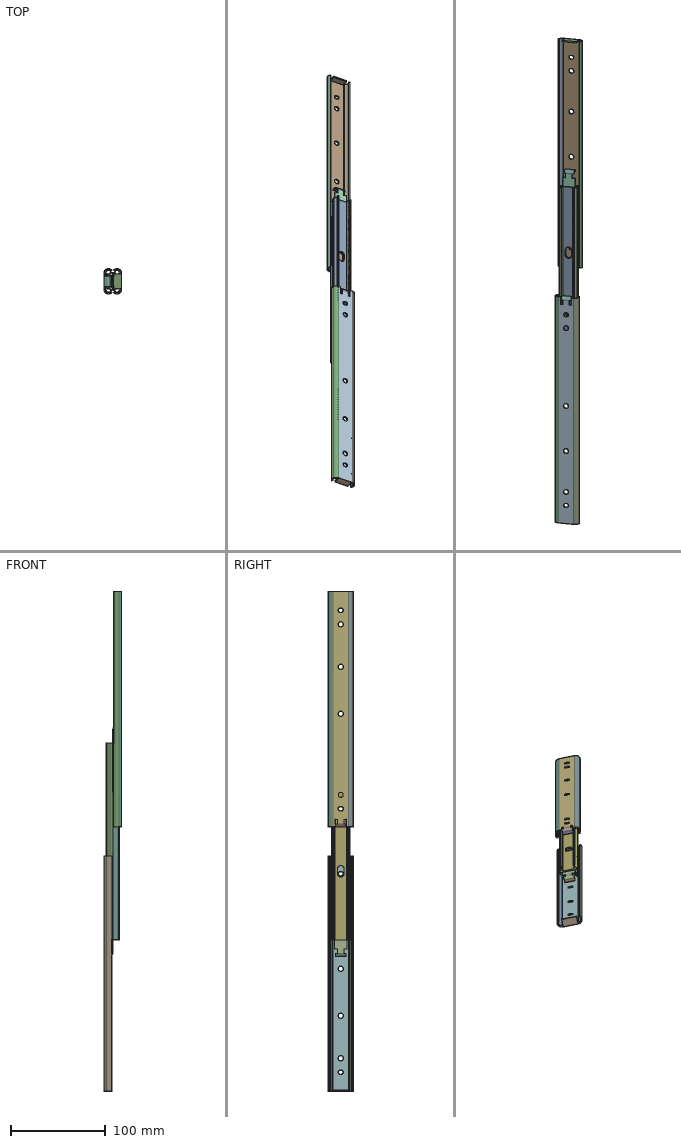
import cadquery as cq
import math


total_length = 528.5
total_depth = 19.0
total_width = 27.0
sheet = 1.5

rail_length = 249.0
rail_depth = 8.5
rail_web_half = 8.5
end_wall_width = 16.0
rail_back = -total_depth / 2
rail_bottom = -total_length / 2
rail_top = rail_bottom + rail_length

lip_radius = 4.45
race_radius = lip_radius - sheet
lip_start = math.radians(-27)
lip_end = math.radians(51)
race_offset = 5.0
race_x = rail_back + race_offset
race_y = total_width / 2 - lip_radius

hole_diameter = 5.5
round_hole_heights = (35.0, 80.0, 129.5, 215.0)
slot_heights = (20.0, 230.0)
slot_width = 5.5
slot_height = 4.0

fold_radius = 3.0
hook_reach = 6.5
hook_width = 11.0
neck_width = 7.5
neck_bottom = 8.0
notch_side_gap = 0.25
notch_width = hook_width + 2 * notch_side_gap

channel_length = 208.5
channel_depth = 7.5
channel_half_width = 9.5
back_edge_drop = 1.3
peak_depth = 1.3
groove_depth = 3.95
groove_drop = 2.2
tip_flat = 1.3
tip_drop = 1.3
tip_thickness = 2.0
tip_chamfer = 1.0
tip_half_width = channel_half_width - tip_drop
cavity_half_width = tip_half_width - tip_thickness
tongue_length = 17.5
tongue_width = 14.0
window_width = 7.0
window_height = 12.0
window_z = 31.5

cage_length = 63.5
cage_thickness = 0.5
cage_end_gap = 2.5
cage_span = math.radians(70)


def on_circle(center, radius, angle):
    """Point on a circle, with the angle measured from +Y towards +X."""
    return (center[0] + radius * math.sin(angle), center[1] + radius * math.cos(angle))


def mirrored_extrusion(half_profile, bottom, length):
    """Extrude a half profile along Z and join it to its mirror image across Y = 0."""
    half = half_profile.extrude(length).translate((0, 0, bottom))
    return half.union(half.mirror("XZ"))


def stop_hook(back, into):
    """Sheet folded over in the X direction `into`, its top at Z = 0, on a narrower neck."""
    bend_middle = 1 - math.sqrt(0.5)
    inner_radius = fold_radius - sheet
    hook = (
        cq.Workplane("XZ")
        .moveTo(back, -neck_bottom)
        .lineTo(back, -fold_radius)
        .threePointArc(
            (back + into * fold_radius * bend_middle, -fold_radius * bend_middle),
            (back + into * fold_radius, 0),
        )
        .lineTo(back + into * hook_reach, 0)
        .lineTo(back + into * hook_reach, -sheet)
        .lineTo(back + into * fold_radius, -sheet)
        .threePointArc(
            (back + into * (sheet + inner_radius * bend_middle), -sheet - inner_radius * bend_middle),
            (back + into * sheet, -fold_radius),
        )
        .lineTo(back + into * sheet, -neck_bottom)
        .close()
        .extrude(hook_width / 2, both=True)
    )
    slit_width = (hook_width - neck_width) / 2
    slit_height = neck_bottom - fold_radius
    slits = (
        cq.Workplane("XY")
        .pushPoints([(back, side * (neck_width + slit_width) / 2) for side in (-1, 1)])
        .box(2 * hook_reach, slit_width, slit_height)
        .translate((0, 0, -neck_bottom + slit_height / 2))
    )
    return hook.cut(slits)


def rail_profile():
    """Half of the rail section: web, bent corner and lip curled round the balls."""
    race = (race_x, race_y)
    corner_end = on_circle(race, lip_radius, lip_start)
    inner_web = rail_back + sheet
    return (
        cq.Workplane("XY")
        .moveTo(rail_back, 0)
        .lineTo(rail_back, rail_web_half)
        .tangentArcPoint(corner_end, relative=False)
        .threePointArc(on_circle(race, lip_radius, 0), on_circle(race, lip_radius, lip_end))
        .lineTo(*on_circle(race, race_radius, lip_end))
        .threePointArc(on_circle(race, race_radius, 0), on_circle(race, race_radius, -math.pi / 2))
        .lineTo(inner_web, rail_web_half)
        .lineTo(inner_web, 0)
        .close()
    )


def rail_holes():
    """Round holes and cross slots through the web."""
    start = (rail_back, 0, rail_bottom)
    round_places = [(0, height) for height in round_hole_heights]
    slot_places = [(0, height) for height in slot_heights]
    round_holes = cq.Workplane("YZ", origin=start).pushPoints(round_places).circle(hole_diameter / 2)
    slots = cq.Workplane("YZ", origin=start).pushPoints(slot_places).slot2D(slot_width, slot_height)
    return round_holes.extrude(sheet).union(slots.extrude(sheet))


def make_rail():
    rail = mirrored_extrusion(rail_profile(), rail_bottom, rail_length)
    end_wall = (
        cq.Workplane("XY")
        .box(rail_depth, end_wall_width, sheet)
        .translate((rail_back + rail_depth / 2, 0, rail_bottom + sheet / 2))
    )
    rail = rail.union(end_wall)
    notch = (
        cq.Workplane("XY")
        .box(2 * sheet, notch_width, 2 * neck_bottom)
        .translate((rail_back, 0, rail_top))
    )
    hook = stop_hook(rail_back, 1).translate((0, 0, rail_top))
    return rail.cut(notch).union(hook).cut(rail_holes())


def channel_profile():
    """Half of the middle channel section, back on X = 0 and a smooth ball groove in its flange."""
    flange_curve = [
        (-peak_depth, channel_half_width),
        (-groove_depth, channel_half_width - groove_drop),
        (tip_flat - channel_depth, tip_half_width),
    ]
    return (
        cq.Workplane("XY")
        .lineTo(0, channel_half_width - back_edge_drop)
        .spline(flange_curve, includeCurrent=True)
        .lineTo(-channel_depth, tip_half_width)
        .lineTo(-channel_depth, cavity_half_width + tip_chamfer)
        .lineTo(tip_chamfer - channel_depth, cavity_half_width)
        .lineTo(-sheet, cavity_half_width)
        .lineTo(-sheet, 0)
        .close()
    )


def make_channel():
    channel = mirrored_extrusion(channel_profile(), -channel_length / 2, channel_length)
    tongue_end = -channel_length / 2 - tongue_length
    tongue_plain = tongue_length - neck_bottom
    tongue = (
        cq.Workplane("XY")
        .box(sheet, tongue_width, tongue_plain)
        .translate((-sheet / 2, 0, -channel_length / 2 - tongue_plain / 2))
    )
    hook = stop_hook(0, -1).mirror("XY").translate((0, 0, tongue_end))
    windows = (
        cq.Workplane("YZ")
        .pushPoints([(0, window_z), (0, -window_z)])
        .slot2D(window_height, window_width, 90)
        .extrude(-sheet)
    )
    return channel.union(tongue).union(hook).cut(windows)


def make_cage(side):
    """Thin curved strip lining the raceway on one side (+1 or -1) of the rail."""
    race = (race_x, race_y)
    inner = race_radius - cage_thickness
    strip = (
        cq.Workplane("XY")
        .moveTo(*on_circle(race, race_radius, -cage_span))
        .threePointArc(on_circle(race, race_radius, 0), on_circle(race, race_radius, cage_span))
        .lineTo(*on_circle(race, inner, cage_span))
        .threePointArc(on_circle(race, inner, 0), on_circle(race, inner, -cage_span))
        .close()
        .extrude(cage_length)
        .translate((0, 0, rail_top - cage_end_gap - cage_length))
    )
    return strip if side > 0 else strip.mirror("XZ")


lower_half = [make_rail(), make_channel(), make_cage(1), make_cage(-1)]
upper_half = [body.rotate((0, 0, 0), (0, 1, 0), 180) for body in lower_half]

result = cq.Compound.makeCompound([body.val() for body in lower_half + upper_half])